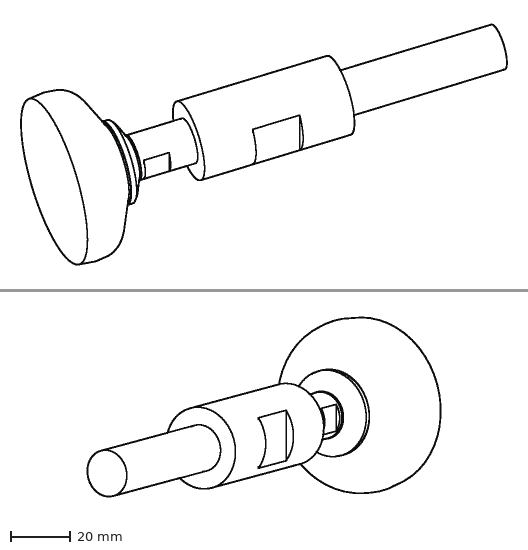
import cadquery as cq

TOTAL_LENGTH = 163.0
BASE_Y = -TOTAL_LENGTH / 2

FOOT_RADIUS = 60.0 / 2
BASE_RADIUS = 29.3
RIM_HEIGHT = 5.9
BAND_TOP = 8.8
BAND_TOP_RADIUS = 29.7
SHOULDER_HEIGHT = 15.3
SHOULDER_RADIUS = 25.6
GROOVE_HEIGHT = 21.5
GROOVE_WIDTH = 0.7
GROOVE_RADIUS = 14.3
COLLAR_RADIUS = 14.8
COLLAR_TOP = 24.1
DOME_START_HEIGHT = 25.1
DOME_START_RADIUS = 13.7
DOME_TOP = 28.0
LIP_RADIUS = 8.2
FOOT_TOP = 28.7

SPINDLE_RADIUS = 16.0 / 2
SPINDLE_FLATS_WIDTH = 13.0
SPINDLE_FLATS_LENGTH = 9.3
SPINDLE_FLATS_START = 30.2

SLEEVE_RADIUS = 28.0 / 2
SLEEVE_START = 49.4
SLEEVE_LENGTH = 55.1
SLEEVE_FLATS_WIDTH = 22.0
SLEEVE_FLATS_LENGTH = 17.3


def cylinder(radius, start, length):
    """Cylinder along Y, starting at a height above the base."""
    plane = cq.Plane(origin=(0, BASE_Y + start, 0), xDir=(1, 0, 0), normal=(0, 1, 0))
    return cq.Workplane(plane).circle(radius).extrude(length)


def cut_wrench_flats(body, radius, width, start, length):
    """Cut two opposite flats, facing -X and +X, into a round body."""
    depth = radius - width / 2
    for side in (-1, 1):
        cutter = cq.Workplane("XY").box(depth, length, 2 * radius).translate(
            (side * (width + depth) / 2, BASE_Y + start + length / 2, 0)
        )
        body = body.cut(cutter)
    return body


def make_foot():
    """Revolved foot: tapered rim, rounded shoulder, cone, grooved collar, dome and lip."""
    profile = (
        cq.Workplane("XY")
        .moveTo(0, FOOT_TOP)
        .lineTo(LIP_RADIUS, FOOT_TOP)
        .lineTo(LIP_RADIUS, DOME_TOP)
        .lineTo(DOME_START_RADIUS, DOME_START_HEIGHT)
        .lineTo(COLLAR_RADIUS, COLLAR_TOP)
        .lineTo(COLLAR_RADIUS, GROOVE_HEIGHT + GROOVE_WIDTH)
        .lineTo(GROOVE_RADIUS, GROOVE_HEIGHT + GROOVE_WIDTH)
        .lineTo(GROOVE_RADIUS, GROOVE_HEIGHT)
        .lineTo(SHOULDER_RADIUS, SHOULDER_HEIGHT)
        .tangentArcPoint((BAND_TOP_RADIUS, BAND_TOP), relative=False)
        .lineTo(FOOT_RADIUS, RIM_HEIGHT)
        .lineTo(BASE_RADIUS, 0)
        .lineTo(0, 0)
        .close()
    )
    return profile.revolve(360, (0, 0, 0), (0, 1, 0)).translate((0, BASE_Y, 0))


def make_spindle_foot():
    """Foot and spindle in one piece, with wrench flats on the spindle just above the foot."""
    spindle = cylinder(SPINDLE_RADIUS, FOOT_TOP, TOTAL_LENGTH - FOOT_TOP)
    spindle = cut_wrench_flats(
        spindle, SPINDLE_RADIUS, SPINDLE_FLATS_WIDTH, SPINDLE_FLATS_START, SPINDLE_FLATS_LENGTH
    )
    return make_foot().union(spindle)


def make_sleeve():
    """Sleeve around the spindle, with wrench flats at mid-length."""
    sleeve = cylinder(SLEEVE_RADIUS, SLEEVE_START, SLEEVE_LENGTH)
    sleeve = sleeve.cut(cylinder(SPINDLE_RADIUS, SLEEVE_START, SLEEVE_LENGTH))
    flats_start = SLEEVE_START + (SLEEVE_LENGTH - SLEEVE_FLATS_LENGTH) / 2
    return cut_wrench_flats(
        sleeve, SLEEVE_RADIUS, SLEEVE_FLATS_WIDTH, flats_start, SLEEVE_FLATS_LENGTH
    )


spindle_foot = make_spindle_foot()
sleeve = make_sleeve()

result = cq.Compound.makeCompound([spindle_foot.val(), sleeve.val()])